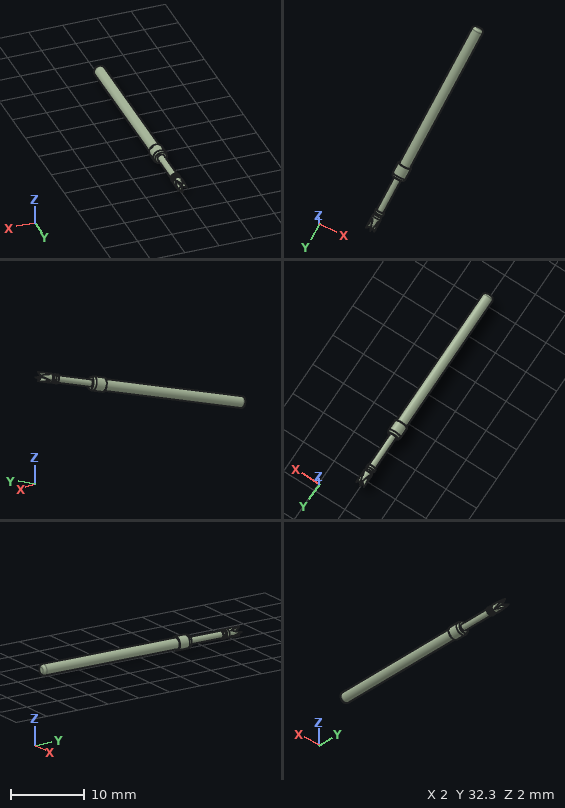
import cadquery as cq


barrel_length = 22.0
barrel_radius = 0.825
tail_fillet = 0.4
collar_length = 2.0
collar_radius = 1.0
collar_chamfer_length = 0.4
collar_chamfer_height = 0.13

plunger_length = 8.3
shaft_radius = 0.525
head_radius = 0.645
neck_radius = 0.525
head_taper_start = 2.0
neck_start = 2.3
ring_start = 2.6
ring_end = 3.0

tooth_count = 4
crown_centre_depth = 0.55
tooth_flank_slope = 3.4

full_turn = 360
tip_y = collar_length + plunger_length
head_taper_y = tip_y - head_taper_start


def revolved(outline):
    """Spin a closed (radius, y) outline about the Y axis."""
    profile = cq.Workplane("YZ").polyline([(y, radius) for radius, y in outline]).close()
    return profile.revolve(full_turn, (0, 0, 0), (1, 0, 0))


def make_barrel():
    barrel = revolved([
        (0, -barrel_length),
        (barrel_radius, -barrel_length),
        (barrel_radius, 0),
        (0, 0),
    ])
    return barrel.faces("<Y").edges().fillet(tail_fillet)


def make_collar():
    return revolved([
        (0, 0),
        (collar_radius, 0),
        (collar_radius, collar_length - collar_chamfer_length),
        (collar_radius - collar_chamfer_height, collar_length),
        (0, collar_length),
    ])


def make_plunger():
    """Shaft, ring, neck and head, with the head still a plain cylinder."""
    return revolved([
        (0, collar_length),
        (shaft_radius, collar_length),
        (shaft_radius, tip_y - ring_end),
        (head_radius, tip_y - ring_end),
        (head_radius, tip_y - ring_start),
        (neck_radius, tip_y - ring_start),
        (neck_radius, tip_y - neck_start),
        (head_radius, head_taper_y),
        (head_radius, tip_y),
        (0, tip_y),
    ])


def tooth_section(apex_y, base_y, distance):
    """Triangular tooth section in the plane Z = distance."""
    half_width = (apex_y - base_y) / tooth_flank_slope
    return cq.Wire.makePolygon(
        [
            cq.Vector(-half_width, base_y, distance),
            cq.Vector(half_width, base_y, distance),
            cq.Vector(0, apex_y, distance),
        ],
        close=True,
    )


def make_tooth_envelope():
    """Wedge for the +Z tooth, with its ridge rising from the axis to the tip."""
    inner = tooth_section(tip_y - crown_centre_depth, head_taper_y, 0)
    outer = tooth_section(tip_y, head_taper_y, head_radius)
    return cq.Workplane(obj=cq.Solid.makeLoft([inner, outer], True))


def cut_crown(plunger):
    """Trim the head to the union of the four tooth wedges."""
    waste = revolved([
        (0, head_taper_y),
        (collar_radius, head_taper_y),
        (collar_radius, tip_y),
        (0, tip_y),
    ])
    envelope = make_tooth_envelope()
    for index in range(tooth_count):
        angle = index * full_turn / tooth_count
        waste = waste.cut(envelope.rotate((0, 0, 0), (0, 1, 0), angle))
    return plunger.cut(waste)


plunger = cut_crown(make_plunger())
result = make_barrel().union(make_collar()).union(plunger)